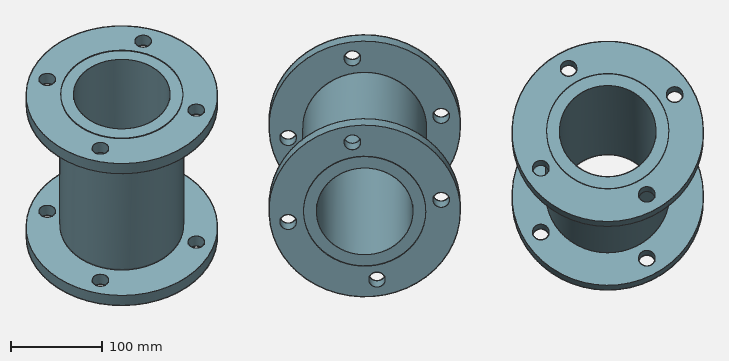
import cadquery as cq

length = 226.0
flange_diameter = 210.0
flange_thickness = 16.0
bore_diameter = 106.0

face_diameter = 134.0
face_height = 1.0

pipe_diameter = 136.0
pipe_end_fillet = 3.0

bolt_circle_diameter = 170.0
bolt_hole_diameter = 18.0
bolt_count = 4
first_bolt_angle = 180.0 / bolt_count

half_length = length / 2
flange_outer_z = half_length - face_height
flange_inner_z = flange_outer_z - flange_thickness


def cylinder(diameter, bottom_z, top_z):
    """Solid cylinder on the Z axis between two heights."""
    return cq.Workplane("XY").workplane(offset=bottom_z).circle(diameter / 2).extrude(top_z - bottom_z)


def flanged_end():
    """Upper flange with its raised face and bolt holes."""
    flange = cylinder(flange_diameter, flange_inner_z, flange_outer_z)
    raised_face = cylinder(face_diameter, flange_outer_z, half_length)
    bolt_holes = (
        cq.Workplane("XY")
        .workplane(offset=flange_inner_z)
        .polarArray(bolt_circle_diameter / 2, first_bolt_angle, 360.0, bolt_count)
        .circle(bolt_hole_diameter / 2)
        .extrude(flange_thickness)
    )
    return flange.union(raised_face).cut(bolt_holes)


def pipe():
    """Outer body of the pipe, rounded off where it meets each flange."""
    body = cylinder(pipe_diameter, -flange_inner_z, flange_inner_z)
    return body.faces("<Z or >Z").edges().fillet(pipe_end_fillet)


upper_end = flanged_end()
lower_end = upper_end.mirror("XY")
bore = cylinder(bore_diameter, -half_length, half_length)

result = pipe().union(upper_end).union(lower_end).cut(bore)